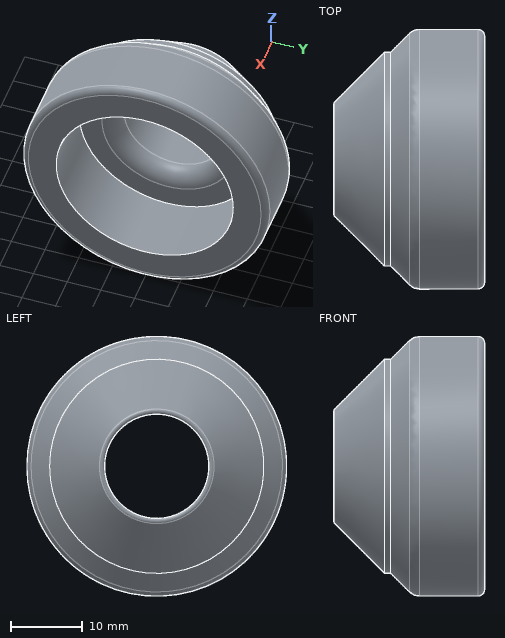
import cadquery as cq
import math


total_length = 21.2
slope = math.radians(45)
joint_x = 8.0
collar_radius = 15.05
spigot_radius = 13.15

bore_radius = 7.3
tip_round = 0.45
bore_end_x = 8.65
flare_fillet = 2.5

housing_radius = 18.25
shoulder_fillet = 2.05
back_fillet = 1.0


def revolve_about_x(profile):
    """Turn a profile of (axial, radial) points a full circle about X."""
    return profile.close().revolve(360, (0, 0, 0), (1, 0, 0))


def fillet_circle(body, x, radius, fillet_radius):
    """Round the circular edge of the given radius that lies in the plane at x."""
    margin = 0.02
    box = cq.selectors.BoxSelector(
        (x - margin, -radius - margin, -radius - margin),
        (x + margin, radius + margin, radius + margin),
        boundingbox=True,
    )
    return body.edges(box).fillet(fillet_radius)


def make_nose():
    """Conical nose with a rounded tip, a collar and a spigot at its back."""
    arc_center_radius = bore_radius + tip_round
    cone_start_x = tip_round * (1 - math.sin(slope))
    cone_start_radius = arc_center_radius + tip_round * math.cos(slope)
    cone_end_x = cone_start_x + (collar_radius - cone_start_radius) / math.tan(slope)
    nose_back_x = bore_end_x + flare_fillet
    profile = (
        cq.Workplane("XY")
        .moveTo(tip_round, bore_radius)
        .threePointArc((0, arc_center_radius), (cone_start_x, cone_start_radius))
        .lineTo(cone_end_x, collar_radius)
        .lineTo(joint_x, collar_radius)
        .lineTo(joint_x, spigot_radius)
        .lineTo(nose_back_x, spigot_radius)
        .lineTo(nose_back_x, bore_radius)
    )
    body = revolve_about_x(profile)
    return fillet_circle(body, nose_back_x, bore_radius, flare_fillet)


def make_housing():
    """Ring with a conical front, a rounded shoulder and a straight bore."""
    cone_end_x = joint_x + (housing_radius - collar_radius) / math.tan(slope)
    profile = (
        cq.Workplane("XY")
        .moveTo(joint_x, spigot_radius)
        .lineTo(joint_x, collar_radius)
        .lineTo(cone_end_x, housing_radius)
        .lineTo(total_length, housing_radius)
        .lineTo(total_length, spigot_radius)
    )
    body = revolve_about_x(profile)
    body = fillet_circle(body, cone_end_x, housing_radius, shoulder_fillet)
    return body.faces(">X").edges(cq.selectors.RadiusNthSelector(-1)).fillet(back_fillet)


nose = make_nose()
housing = make_housing()

result = cq.Compound.makeCompound([nose.val(), housing.val()])